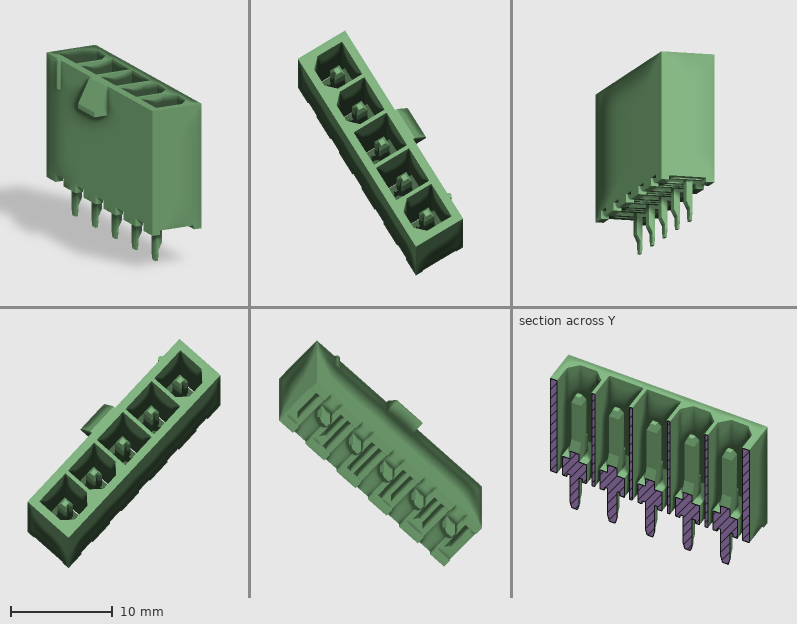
import cadquery as cq


housing_length = 22.2
housing_depth = 5.45
housing_height = 12.8

way_count = 5
pitch = 4.2
cavity_width = 3.82
cavity_depth = 3.8
front_wall = 0.85
cavity_chamfer = 0.98
chamfered_ways = (0, 3, 4)

floor_width = 2.75
floor_top = 3.0

channel_height = 0.42
notch_width = 1.66
notch_height = 0.82

latch_width = 3.42
latch_reach = 1.47
latch_height = 2.97
latch_lip_height = 0.49
latch_top_reach = 0.2
rib_radius = 0.29

strip_thickness = 0.25
pin_size = 1.09
pin_front = 2.0
pin_top = 10.88
tip_width = 0.55
tip_depth = 0.49
tip_height = 0.73
groove_depth = 0.27
groove_bottom_width = 0.15
leg_back = 3.42
leg_top = 5.25
step_bottom = 4.0
tail_front = 1.6
tail_depth = 0.6
tail_length = 3.49
tail_thinning_start = 1.58
tail_thinning_end = 2.26
tail_point_height = 0.78
tail_point_width = 0.67

way_centers = [pitch * (way - (way_count - 1) / 2) for way in range(way_count)]
cavity_back = front_wall + cavity_depth
pin_back = pin_front + pin_size
pin_middle = pin_front + pin_size / 2


def box(width, y_range, z_range):
    """Box centered on X = 0 that spans the given Y and Z ranges."""
    depth = y_range[1] - y_range[0]
    height = z_range[1] - z_range[0]
    block = cq.Workplane("XY").box(width, depth, height, centered=(True, False, False))
    return block.translate((0, y_range[0], z_range[0]))


def side_profile(points, width):
    """Prism of a (Y, Z) outline, centered on X = 0."""
    return cq.Workplane("YZ").polyline(points).close().extrude(width / 2, both=True)


def make_cavity(chamfered):
    """Space cut for one way: full-width socket above the floor, two slots beside the floor, base notch."""
    cavity = box(cavity_width, (front_wall, cavity_back), (0, housing_height))
    if chamfered:
        cavity = cavity.edges("|Z and >Y").chamfer(cavity_chamfer)
    floor = box(floor_width, (front_wall, cavity_back), (0, floor_top))
    notch = box(notch_width, (0, housing_depth), (0, notch_height))
    return cavity.cut(floor).union(notch)


def make_housing():
    housing = box(housing_length, (0, housing_depth), (0, housing_height))
    channel = box(housing_length, (front_wall, cavity_back), (0, channel_height))
    housing = housing.cut(channel)
    for way, center in enumerate(way_centers):
        housing = housing.cut(make_cavity(way in chamfered_ways).translate((center, 0, 0)))
    return housing


def make_latch():
    """Ramp that grows from the top edge down to a short upright lip."""
    bottom = housing_height - latch_height
    outline = [
        (0, housing_height),
        (-latch_top_reach, housing_height),
        (-latch_reach, bottom + latch_lip_height),
        (-latch_reach, bottom),
        (0, bottom),
    ]
    return side_profile(outline, latch_width)


def make_rib():
    """Rounded rib in line with the first way; its back half lies inside the front wall."""
    rib = cq.Workplane("XY").circle(rib_radius).extrude(latch_height)
    return rib.translate((way_centers[0], 0, housing_height - latch_height))


def make_pin():
    """Square pin with a tapered tip, two legs behind it and a groove up its back."""
    shoulder = pin_top - tip_height
    shaft = box(pin_size, (pin_front, pin_back), (notch_height, shoulder))
    tip = (
        cq.Workplane("XY", origin=(0, pin_middle, shoulder))
        .rect(pin_size, pin_size)
        .workplane(offset=tip_height)
        .rect(tip_width, tip_depth)
        .loft(ruled=True)
    )
    legs = box(pin_size, (pin_front, leg_back), (notch_height, leg_top))
    groove_half = pin_size / 2 - strip_thickness
    bottom_half = groove_bottom_width / 2
    groove_bottom = pin_back - groove_depth
    groove_outline = [
        (-groove_half, leg_back),
        (-groove_half, pin_back),
        (-bottom_half, groove_bottom),
        (bottom_half, groove_bottom),
        (groove_half, pin_back),
        (groove_half, leg_back),
    ]
    groove = cq.Workplane("XY", origin=(0, 0, floor_top)).polyline(groove_outline).close()
    return shaft.union(tip).union(legs).cut(groove.extrude(pin_top - floor_top))


def make_tail():
    """Solder tail: thinned from behind, pointed in width, and sloped up to the pin front above the floor."""
    tail_back = tail_front + tail_depth
    thin_back = tail_front + strip_thickness
    outline = [
        (tail_front, -tail_length),
        (thin_back, -tail_length),
        (thin_back, -tail_thinning_end),
        (tail_back, -tail_thinning_start),
        (tail_back, leg_top),
        (pin_front, leg_top),
        (tail_front, step_bottom),
    ]
    point_start = tail_point_height - tail_length
    half = pin_size / 2
    half_point = tail_point_width / 2
    front_outline = [
        (-half, leg_top),
        (-half, point_start),
        (-half_point, -tail_length),
        (half_point, -tail_length),
        (half, point_start),
        (half, leg_top),
    ]
    blank = cq.Workplane("XZ").polyline(front_outline).close().extrude(-housing_depth)
    return side_profile(outline, pin_size).intersect(blank)


result = make_housing().union(make_latch()).union(make_rib())
contact = make_pin().union(make_tail())
for center in way_centers:
    result = result.union(contact.translate((center, 0, 0)))